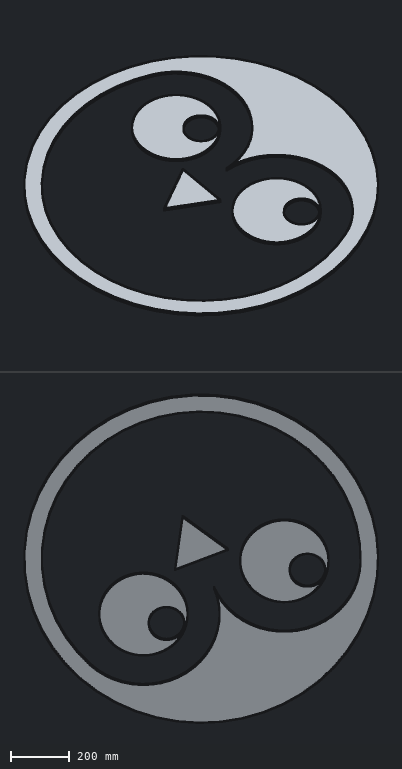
import cadquery as cq
import math

thickness = 10.0
head_radius = 600.0
rim_width = 60.0
eye_radius = 150.0
pupil_radius = 60.0
pupil_shift = 60.0
brow_radius = 258.0
beak_width = 195.0
beak_height = 170.0
beak_draft = 4.0
beak_top_y = 2.0

face_radius = head_radius - rim_width
eye_x = brow_radius
brow_centre_distance = face_radius - brow_radius
eye_y = math.sqrt(brow_centre_distance**2 - eye_x**2)


def make_face_opening():
    """Heart-topped opening: two brow arcs and the large lower arc of the rim."""
    tangent_x = eye_x * face_radius / brow_centre_distance
    tangent_y = eye_y * face_radius / brow_centre_distance
    brow_top_y = eye_y + brow_radius
    return (
        cq.Workplane("XY")
        .moveTo(0, eye_y)
        .threePointArc((-eye_x, brow_top_y), (-tangent_x, tangent_y))
        .threePointArc((0, -face_radius), (tangent_x, tangent_y))
        .threePointArc((eye_x, brow_top_y), (0, eye_y))
        .close()
        .extrude(thickness)
    )


def make_head():
    """Round plate with the face opening cut through it."""
    plate = cq.Workplane("XY").circle(head_radius).extrude(thickness)
    return plate.cut(make_face_opening())


def make_eye(centre_x):
    """Disc with an off-centre pupil hole."""
    disc = cq.Workplane("XY").center(centre_x, eye_y).circle(eye_radius).extrude(thickness)
    pupil = (
        cq.Workplane("XY")
        .center(centre_x + pupil_shift, eye_y + pupil_shift)
        .circle(pupil_radius)
        .extrude(thickness)
    )
    return disc.cut(pupil)


def make_beak():
    """Slightly drafted triangle pointing toward -Y."""
    return (
        cq.Workplane("XY")
        .moveTo(-beak_width / 2, beak_top_y)
        .lineTo(beak_width / 2, beak_top_y)
        .lineTo(0, beak_top_y - beak_height)
        .close()
        .extrude(thickness, taper=beak_draft)
    )


head = make_head()
eyes = [make_eye(side * eye_x) for side in (-1, 1)]
beak = make_beak()

result = cq.Compound.makeCompound([head.val(), *[eye.val() for eye in eyes], beak.val()])